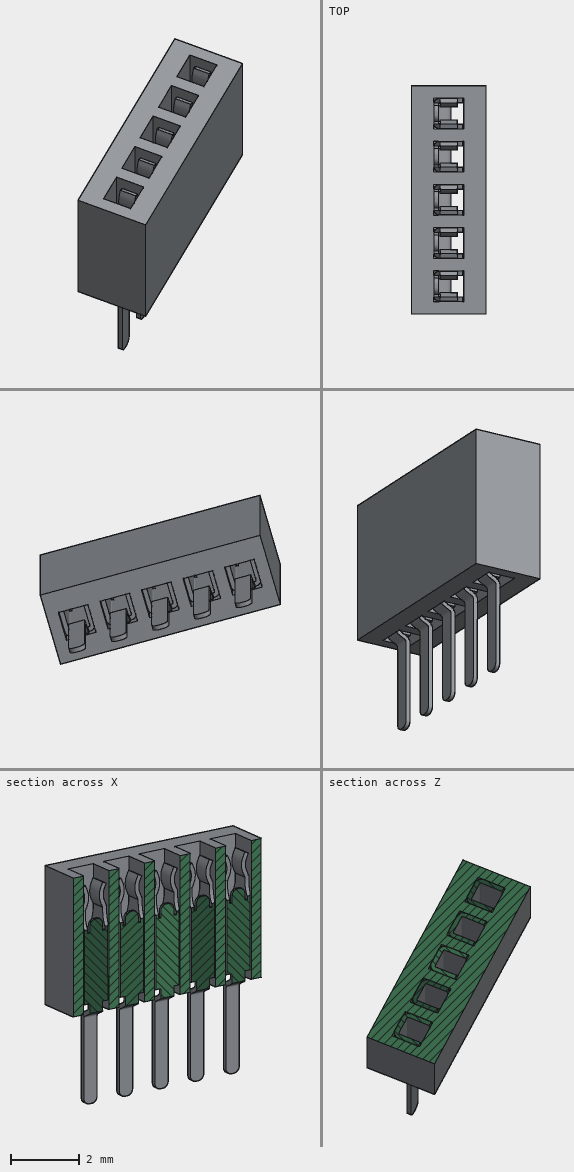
import cadquery as cq
import math

CONTACT_COUNT = 5
PITCH = 1.27

HOUSING_WIDTH = 2.2
HOUSING_LENGTH = 6.72
HOUSING_HEIGHT = 4.3
CAVITY_WIDTH = 0.88
CAVITY_LENGTH = 0.9

THICKNESS = 0.14
STRIP_WIDTH = 0.48
ARM_WIDTH = 0.5
STRIP_CORNER_RADIUS = 0.2
BOX_INNER_BEND = 0.03
BOX_FRONT_X = 0.41
BOX_BOTTOM_Z = 0.3
BOX_TOP_Z = 2.5
SHOULDER_RADIUS = 0.9
TONGUE_HEIGHT = 0.4

ARM_ANGLE = math.radians(25)
THROAT_GAP = 0.38
THROAT_RADIUS = 0.6
ARM_ROOT_Z = 3.16

TAIL_LENGTH = 2.9
TAIL_BEND_ANGLE = math.radians(62)
TAIL_INNER_BEND = 0.09
TAIL_BEND_DROP = 0.02

BACK_X = -CAVITY_WIDTH / 2
BACK_INNER_X = BACK_X + THICKNESS
WALL_Y = CAVITY_LENGTH / 2
WALL_INNER_Y = WALL_Y - THICKNESS
BOX_OUTER_BEND = BOX_INNER_BEND + THICKNESS
ARM_EDGE_X = ARM_WIDTH / 2
TAIL_OUTER_BEND = TAIL_INNER_BEND + THICKNESS


def make_housing():
    """Block with a row of rectangular cavities running right through it."""
    block = cq.Workplane("XY").box(
        HOUSING_WIDTH, HOUSING_LENGTH, HOUSING_HEIGHT, centered=(True, True, False)
    )
    cavities = (
        cq.Workplane("XY")
        .rarray(1, PITCH, 1, CONTACT_COUNT)
        .rect(CAVITY_WIDTH, CAVITY_LENGTH)
        .extrude(HOUSING_HEIGHT)
    )
    return block.cut(cavities)


def make_box():
    """U-shaped channel whose side walls narrow upward to the arm width along concave flanks."""
    height = ARM_ROOT_Z - BOX_BOTTOM_Z
    depth = BOX_FRONT_X - BACK_X
    inner_depth = BOX_FRONT_X - BACK_INNER_X
    channel = (
        cq.Workplane("XY", origin=(BACK_X + depth / 2, 0, BOX_BOTTOM_Z))
        .box(depth, CAVITY_LENGTH, height, centered=(True, True, False))
        .edges("|Z and <X")
        .fillet(BOX_OUTER_BEND)
    )
    hollow = (
        cq.Workplane("XY", origin=(BACK_INNER_X + inner_depth / 2, 0, BOX_BOTTOM_Z))
        .box(inner_depth, 2 * WALL_INNER_Y, height, centered=(True, True, False))
        .edges("|Z and <X")
        .fillet(BOX_INNER_BEND)
    )
    channel = channel.cut(hollow)

    for edge_x, end_x in ((-ARM_EDGE_X, BACK_X), (ARM_EDGE_X, BOX_FRONT_X)):
        channel = channel.cut(make_shoulder_cut(edge_x, end_x))

    flat_shoulder = cq.Workplane("XY", origin=(0, 0, BOX_TOP_Z)).box(
        CAVITY_WIDTH, 2 * WALL_INNER_Y, height, centered=(True, True, False)
    )
    return channel.cut(flat_shoulder)


def make_shoulder_cut(edge_x, end_x):
    """Waste beside an arm, above the concave flank that widens it into the box."""
    side = math.copysign(1, edge_x)
    sweep = math.acos(1 - abs(end_x - edge_x) / SHOULDER_RADIUS)
    tangent_z = BOX_TOP_Z + SHOULDER_RADIUS * math.sin(sweep)
    arc_middle = (
        edge_x + side * SHOULDER_RADIUS * (1 - math.cos(sweep / 2)),
        tangent_z - SHOULDER_RADIUS * math.sin(sweep / 2),
    )
    return (
        cq.Workplane("XZ")
        .moveTo(end_x, BOX_TOP_Z)
        .threePointArc(arc_middle, (edge_x, tangent_z))
        .lineTo(edge_x, ARM_ROOT_Z)
        .lineTo(end_x, ARM_ROOT_Z)
        .close()
        .extrude(WALL_Y, both=True)
    )


def make_arm():
    """Spring arm on the +Y side, symmetric about its throat."""
    throat_y = THROAT_GAP / 2
    center_y = throat_y + THROAT_RADIUS
    outer_radius = THROAT_RADIUS - THICKNESS
    cos_a = math.cos(ARM_ANGLE)
    sin_a = math.sin(ARM_ANGLE)

    tangent_y = center_y - THROAT_RADIUS * cos_a
    half_height = THROAT_RADIUS * sin_a + (WALL_INNER_Y - tangent_y) / math.tan(ARM_ANGLE)
    throat_z = ARM_ROOT_Z + half_height
    tip_z = throat_z + half_height
    root_miter = THICKNESS * math.tan(ARM_ANGLE / 2)

    def arc_end(radius, direction):
        return (center_y - radius * cos_a, throat_z + direction * radius * sin_a)

    return (
        cq.Workplane("YZ")
        .moveTo(WALL_Y, ARM_ROOT_Z)
        .lineTo(WALL_INNER_Y, ARM_ROOT_Z)
        .lineTo(*arc_end(THROAT_RADIUS, -1))
        .threePointArc((throat_y, throat_z), arc_end(THROAT_RADIUS, 1))
        .lineTo(WALL_INNER_Y, tip_z)
        .lineTo(WALL_INNER_Y + THICKNESS * cos_a, tip_z - THICKNESS * sin_a)
        .lineTo(*arc_end(outer_radius, 1))
        .threePointArc((throat_y + THICKNESS, throat_z), arc_end(outer_radius, -1))
        .lineTo(WALL_Y, ARM_ROOT_Z + root_miter)
        .close()
        .extrude(ARM_EDGE_X, both=True)
    )


def make_strip():
    """Tongue, back plate and doubly bent tail, all one strip with rounded ends."""
    cos_b = math.cos(TAIL_BEND_ANGLE)
    sin_b = math.sin(TAIL_BEND_ANGLE)
    cos_half = math.cos(TAIL_BEND_ANGLE / 2)
    sin_half = math.sin(TAIL_BEND_ANGLE / 2)
    front_x = THICKNESS / 2
    tongue_z = BOX_TOP_Z + TONGUE_HEIGHT

    low_x = front_x - TAIL_OUTER_BEND
    slant_end_z = -TAIL_BEND_DROP
    low_z = slant_end_z - TAIL_OUTER_BEND * sin_b
    slant_end_x = low_x + TAIL_OUTER_BEND * cos_b

    high_x = BACK_INNER_X + TAIL_INNER_BEND
    slant_start_x = high_x - TAIL_INNER_BEND * cos_b
    slant_drop = (slant_end_x - slant_start_x) / math.tan(TAIL_BEND_ANGLE)
    slant_start_z = slant_end_z + slant_drop
    high_z = slant_start_z + TAIL_INNER_BEND * sin_b

    def low_point(radius, cosine, sine):
        return (low_x + radius * cosine, low_z + radius * sine)

    def high_point(radius, cosine, sine):
        return (high_x - radius * cosine, high_z - radius * sine)

    strip = (
        cq.Workplane("XZ")
        .moveTo(BACK_X, tongue_z)
        .lineTo(BACK_INNER_X, tongue_z)
        .lineTo(BACK_INNER_X, high_z)
        .threePointArc(
            high_point(TAIL_INNER_BEND, cos_half, sin_half),
            high_point(TAIL_INNER_BEND, cos_b, sin_b),
        )
        .lineTo(*low_point(TAIL_OUTER_BEND, cos_b, sin_b))
        .threePointArc(low_point(TAIL_OUTER_BEND, cos_half, sin_half), (front_x, low_z))
        .lineTo(front_x, -TAIL_LENGTH)
        .lineTo(-front_x, -TAIL_LENGTH)
        .lineTo(-front_x, low_z)
        .threePointArc(
            low_point(TAIL_INNER_BEND, cos_half, sin_half),
            low_point(TAIL_INNER_BEND, cos_b, sin_b),
        )
        .lineTo(*high_point(TAIL_OUTER_BEND, cos_b, sin_b))
        .threePointArc(high_point(TAIL_OUTER_BEND, cos_half, sin_half), (BACK_X, high_z))
        .close()
        .extrude(STRIP_WIDTH / 2, both=True)
    )
    rounded_ends = strip.faces("<Z or >Z").edges("|X")
    return rounded_ends.fillet(STRIP_CORNER_RADIUS)


def make_contact():
    arm = make_arm()
    return make_box().union(arm).union(arm.mirror("XZ")).union(make_strip())


housing = make_housing()
contact = make_contact()
first_y = -PITCH * (CONTACT_COUNT - 1) / 2
contacts = []
for index in range(CONTACT_COUNT):
    placed = contact.translate((0, first_y + index * PITCH, 0))
    contacts.append(placed.val())

result = cq.Compound.makeCompound([housing.val(), *contacts])